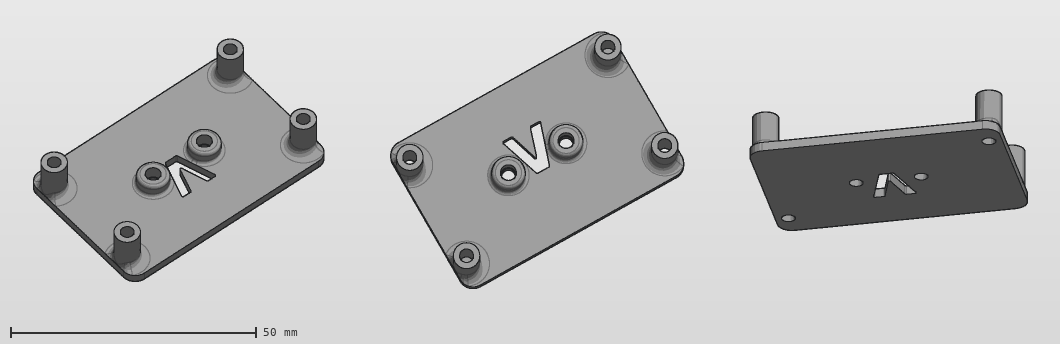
import cadquery as cq

width = 34.0
length = 52.0
thickness = 2.0
corner_radius = 3.0

total_height = 10.5
post_diameter = 5.4
post_hole_diameter = 2.8
post_fillet = 2.0
post_x = 11.75
post_y = 23.25

boss_height = 3.0
boss_diameter = 6.9
boss_hole_diameter = 3.2
boss_lower_hole_diameter = 2.8
boss_fillet = 0.8
boss_spacing = 13.5

window_left = -2.55
window_right = 6.65
window_left_half_width = 1.5
window_outer_half_width = 4.5
window_inner_half_width = 2.15
window_notch_x = -0.05
window_corner_radius = 0.25

boss_places = [(0, side * boss_spacing / 2) for side in (-1, 1)]
post_places = [(i * post_x, j * post_y) for i in (-1, 1) for j in (-1, 1)]


def make_plate():
    plate = cq.Workplane("XY").box(width, length, thickness, centered=(True, True, False))
    return plate.edges("|Z").fillet(corner_radius)


def circle_edges_at(body, place, diameter, height):
    """Select the circular edge of a given size centred at one place."""
    x, y = place
    reach = diameter / 2 + 0.01
    slack = 0.025
    return body.edges(cq.selectors.BoxSelector(
        (x - reach, y - reach, height - slack),
        (x + reach, y + reach, height + slack),
        boundingbox=True,
    ))


def add_pillar(body, place, diameter, height, base_fillet):
    pillar = cq.Workplane("XY", origin=(*place, 0)).circle(diameter / 2).extrude(thickness + height)
    body = body.union(pillar)
    return circle_edges_at(body, place, diameter, thickness).fillet(base_fillet)


def drill(body, place, diameter, floor):
    hole = cq.Workplane("XY", origin=(*place, floor)).circle(diameter / 2).extrude(total_height)
    return body.cut(hole)


def make_window():
    outline = [
        (window_left, window_left_half_width),
        (window_right, window_outer_half_width),
        (window_right, window_inner_half_width),
        (window_notch_x, 0),
        (window_right, -window_inner_half_width),
        (window_right, -window_outer_half_width),
        (window_left, -window_left_half_width),
    ]
    window = cq.Workplane("XY").polyline(outline).close().extrude(total_height)
    return window.edges("|Z").fillet(window_corner_radius)


result = make_plate().cut(make_window())

for place in post_places:
    result = add_pillar(result, place, post_diameter, total_height - thickness, post_fillet)

for place in boss_places:
    result = add_pillar(result, place, boss_diameter, boss_height, boss_fillet)
    boss_top = thickness + boss_height
    result = circle_edges_at(result, place, boss_diameter, boss_top).fillet(boss_fillet)
    result = drill(result, place, boss_lower_hole_diameter, 0)
    result = drill(result, place, boss_hole_diameter, thickness)

for x, y in post_places:
    floor = 0 if x * y > 0 else thickness
    result = drill(result, (x, y), post_hole_diameter, floor)